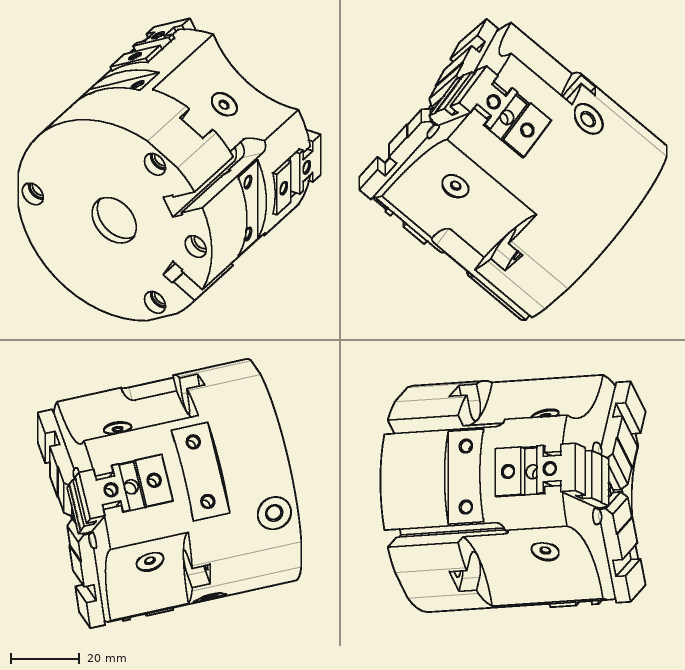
import cadquery as cq
import math


JAW_ANGLES = (0, 120, 240)
GAP_ANGLES = (60, 180, 300)

BODY_RADIUS = 33.0
BODY_LENGTH = 56.5
FLAT_RADIUS = 32.5
SCALLOP_RADIUS = 28.5
SCALLOP_CENTRE = 51.7
SCALLOP_STARTS = {60: 22.0, 180: 33.0, 300: 22.0}
CENTRE_RECESS_DIAMETER = 14.9
CENTRE_RECESS_DEPTH = 3.0

MOUNT_RADIUS = 27.5
MOUNT_DIAMETER = 5.0
MOUNT_CHAMFER_DIAMETER = 6.0
SLEEVE_DIAMETER = 7.05
SLEEVE_DEPTH = 3.5
HEAD_WIDTH = 9.0
HEAD_DEPTH = 5.5
BLIND_DEPTH = 9.9
DRILL_TIP_ANGLE = 118

JAW_INNER_RADIUS = 4.4
JAW_REACH = 2 * BODY_RADIUS - FLAT_RADIUS
JAW_WIDTH = 14.0
NECK_WIDTH = 7.5
JAW_START = 36.0
JAW_SHOULDER = 51.0
JAW_END = 61.0
TIP_RELIEF_END = 12.4
TIP_RELIEF_DEPTH = 0.25
TIP_CHAMFER = 1.85
KEYWAY_START = 20.4
KEYWAY_WIDTH = 5.0
KEYWAY_DEPTH = 3.0
JAW_GROOVE_RADIUS = 30.35
JAW_GROOVE_START = 44.0
JAW_GROOVE_END = 49.0
JAW_GROOVE_HOLE_DIAMETER = 4.1
JAW_GROOVE_HOLE_DEPTH = 5.3
JAW_HOLE_LEVELS = (40.0, 53.0)
COVER_SLOT_WIDTH = 10.0

TAP_DIAMETER = 3.3
TAP_CHAMFER_DIAMETER = 4.0
TAP_DEPTH = 8.0
PAD_ANGLES = (0, 120)
PAD_RADIUS = 30.0
PAD_START = 20.0
PAD_END = 31.0
PAD_HOLE_OFFSET = 9.0

PORTS = ((150, 7.0), (210, 26.5))
PORT_SEAT_RADIUS = FLAT_RADIUS
PORT_SEAT_DIAMETER = 9.95
PORT_DIAMETER = 4.2
PORT_CHAMFER_DIAMETER = 5.0
PORT_DEPTH = 9.9

LUBE_LEVEL = 43.0
LUBE_SEAT_RADIUS = 23.0
LUBE_SEAT_DIAMETER = 8.1
LUBE_DIAMETER = 2.5
LUBE_CHAMFER_DIAMETER = 3.1
LUBE_DEPTH = 5.95

SENSOR_ANGLES = (30, -30)
SENSOR_WIDTH = 5.3
SENSOR_HEAD_WIDTH = 6.6
SENSOR_FLOOR_RADIUS = 21.0
SENSOR_STEP_RADIUS = 24.6
SENSOR_END = 34.5

STUD_PLACE_RADIUS = 11.2
STUD_RADIUS = 2.4
STUD_HEIGHT = 1.25
STUD_ROUNDING = 1.2

OUTSIDE = 2 * BODY_RADIUS


def turned(shape, angle):
    """Turn a shape about the gripper axis, from +X towards +Z."""
    return shape.rotate((0, 0, 0), (0, 1, 0), -angle)


def block(x_start, x_end, y_start, y_end, width):
    """A block on the +X radius, centred on z = 0."""
    size = (x_end - x_start, y_end - y_start, width)
    return cq.Workplane("XY").box(*size, centered=(False, False, True)).translate((x_start, y_start, 0))


def axial_cylinder(diameter, x, y_start, y_end):
    """A cylinder parallel to the gripper axis, centred on z = 0."""
    plane = cq.Workplane("XZ", origin=(x, y_start, 0))
    return plane.circle(diameter / 2).extrude(y_start - y_end)


def radial_cylinder(diameter, x_start, x_end, y, z=0):
    """A cylinder parallel to X."""
    return cq.Workplane("YZ", origin=(x_start, y, z)).circle(diameter / 2).extrude(x_end - x_start)


def chamfered_bore(diameter, mouth_diameter, depth):
    """A blind bore down from the origin along -Z, with a 45 degree chamfer at its mouth."""
    radius = diameter / 2
    mouth = mouth_diameter / 2
    outline = [(0, 0), (mouth, 0), (radius, radius - mouth), (radius, -depth), (0, -depth)]
    return cq.Workplane("XZ").polyline(outline).close().revolve(360, (0, 0), (0, 1))


def radial_bore(diameter, mouth_diameter, depth, x, y, z=0):
    """A chamfered bore going from (x, y, z) towards the gripper axis, along -X."""
    bore = chamfered_bore(diameter, mouth_diameter, depth)
    return bore.rotate((0, 0, 0), (0, 1, 0), 90).translate((x, y, z))



def scallop(start):
    """Concave relief between two jaws, open at the cover end."""
    return axial_cylinder(2 * SCALLOP_RADIUS, SCALLOP_CENTRE, start, BODY_LENGTH)


def mount_hole(scallop_start):
    """Through hole with a sleeve seat in front and a screw head seat in the scallop."""
    head_floor = scallop_start - HEAD_DEPTH
    hole = axial_cylinder(MOUNT_DIAMETER, MOUNT_RADIUS, 0, scallop_start)
    hole = hole.union(axial_cylinder(SLEEVE_DIAMETER, MOUNT_RADIUS, 0, SLEEVE_DEPTH))
    bore = chamfered_bore(MOUNT_DIAMETER, MOUNT_CHAMFER_DIAMETER, MOUNT_DIAMETER)
    bore = bore.rotate((0, 0, 0), (1, 0, 0), 90).translate((MOUNT_RADIUS, SLEEVE_DEPTH, 0))
    hole = hole.union(bore)
    hole = hole.union(axial_cylinder(HEAD_WIDTH, MOUNT_RADIUS, head_floor, scallop_start))
    return hole.union(block(MOUNT_RADIUS, OUTSIDE, head_floor, scallop_start, HEAD_WIDTH))


def blind_mount_hole():
    """Sleeve seat with a drilled hole that ends in a cone."""
    radius = MOUNT_DIAMETER / 2
    cone_end = BLIND_DEPTH + radius / math.tan(math.radians(DRILL_TIP_ANGLE / 2))
    outline = [(0, 0), (radius, 0), (radius, BLIND_DEPTH), (0, cone_end)]
    drilled = cq.Workplane("XY").polyline(outline).close().revolve(360, (0, 0), (0, 1))
    drilled = drilled.translate((MOUNT_RADIUS, 0, 0))
    return drilled.union(axial_cylinder(SLEEVE_DIAMETER, MOUNT_RADIUS, 0, SLEEVE_DEPTH))


def jaw_slot():
    """T-shaped guide for one jaw: as wide as the jaw inside, narrower in the cover."""
    guide = block(0, OUTSIDE, JAW_START, JAW_SHOULDER, JAW_WIDTH)
    return guide.union(block(0, OUTSIDE, JAW_SHOULDER, BODY_LENGTH, COVER_SLOT_WIDTH))


def accessory_pad():
    """Flat seat below a jaw, with two tapped holes."""
    pad = block(PAD_RADIUS, OUTSIDE, PAD_START, PAD_END, OUTSIDE)
    level = (PAD_START + PAD_END) / 2
    for z in (-PAD_HOLE_OFFSET, PAD_HOLE_OFFSET):
        pad = pad.union(radial_bore(TAP_DIAMETER, TAP_CHAMFER_DIAMETER, TAP_DEPTH, PAD_RADIUS, level, z))
    return pad


def seated_port(seat_radius, seat_diameter, diameter, chamfer_diameter, depth, level):
    """Flat round seat with a chamfered bore in it."""
    seat = radial_cylinder(seat_diameter, seat_radius, BODY_RADIUS, level)
    return seat.union(radial_bore(diameter, chamfer_diameter, depth, seat_radius, level))


def sensor_slot():
    """T-section slot along the body with a round end, open at the mounting face."""
    slot = block(SENSOR_FLOOR_RADIUS, SENSOR_STEP_RADIUS, 0, SENSOR_END, SENSOR_HEAD_WIDTH)
    slot = slot.union(radial_cylinder(SENSOR_HEAD_WIDTH, SENSOR_FLOOR_RADIUS, SENSOR_STEP_RADIUS, SENSOR_END))
    slot = slot.union(block(SENSOR_STEP_RADIUS, OUTSIDE, 0, SENSOR_END, SENSOR_WIDTH))
    return slot.union(radial_cylinder(SENSOR_WIDTH, SENSOR_STEP_RADIUS, OUTSIDE, SENSOR_END))


def stud():
    """Round button with a rounded rim, standing on the cover face."""
    button = axial_cylinder(2 * STUD_RADIUS, STUD_PLACE_RADIUS, BODY_LENGTH, BODY_LENGTH + STUD_HEIGHT)
    return button.faces(">Y").edges().fillet(STUD_ROUNDING)


def make_housing():
    """Round body with its mounting, port and sensor features and the three jaw guides."""
    housing = axial_cylinder(2 * BODY_RADIUS, 0, 0, BODY_LENGTH)
    housing = housing.cut(axial_cylinder(CENTRE_RECESS_DIAMETER, 0, 0, CENTRE_RECESS_DEPTH))
    housing = housing.cut(blind_mount_hole())

    lube_port = seated_port(
        LUBE_SEAT_RADIUS, LUBE_SEAT_DIAMETER, LUBE_DIAMETER, LUBE_CHAMFER_DIAMETER, LUBE_DEPTH, LUBE_LEVEL
    )
    for angle in GAP_ANGLES:
        flat = block(FLAT_RADIUS, OUTSIDE, 0, BODY_LENGTH, OUTSIDE)
        housing = housing.cut(turned(flat, angle))
        housing = housing.cut(turned(scallop(SCALLOP_STARTS[angle]), angle))
        housing = housing.cut(turned(mount_hole(SCALLOP_STARTS[angle]), angle))
        housing = housing.cut(turned(lube_port, angle))
        housing = housing.union(turned(stud(), angle))

    for angle in JAW_ANGLES:
        housing = housing.cut(turned(jaw_slot(), angle))

    for angle in PAD_ANGLES:
        housing = housing.cut(turned(accessory_pad(), angle))

    for angle in SENSOR_ANGLES:
        housing = housing.cut(turned(sensor_slot(), angle))

    for angle, level in PORTS:
        port = seated_port(
            PORT_SEAT_RADIUS, PORT_SEAT_DIAMETER, PORT_DIAMETER, PORT_CHAMFER_DIAMETER, PORT_DEPTH, level
        )
        housing = housing.cut(turned(port, angle))
    return housing



def make_jaw():
    """Jaw with a finger plate outside the cover, a neck through it and a wide foot behind it."""
    jaw = block(JAW_INNER_RADIUS, JAW_REACH, BODY_LENGTH, JAW_END, JAW_WIDTH)
    tip_level = JAW_END - TIP_RELIEF_DEPTH
    jaw = jaw.cut(block(0, TIP_RELIEF_END, tip_level, JAW_END, JAW_WIDTH))
    jaw = jaw.faces("<X").edges(">Y").chamfer(TIP_CHAMFER)
    keyway_end = KEYWAY_START + KEYWAY_WIDTH
    jaw = jaw.cut(block(KEYWAY_START, keyway_end, JAW_END - KEYWAY_DEPTH, JAW_END, JAW_WIDTH))

    jaw = jaw.union(block(JAW_INNER_RADIUS, JAW_REACH, JAW_SHOULDER, BODY_LENGTH, NECK_WIDTH))
    jaw = jaw.union(block(JAW_INNER_RADIUS, JAW_REACH, JAW_START, JAW_SHOULDER, JAW_WIDTH))
    jaw = jaw.cut(block(JAW_GROOVE_RADIUS, JAW_REACH, JAW_GROOVE_START, JAW_GROOVE_END, JAW_WIDTH))

    groove_level = (JAW_GROOVE_START + JAW_GROOVE_END) / 2
    hole_floor = JAW_GROOVE_RADIUS - JAW_GROOVE_HOLE_DEPTH
    jaw = jaw.cut(radial_cylinder(JAW_GROOVE_HOLE_DIAMETER, hole_floor, JAW_GROOVE_RADIUS, groove_level))
    for level in JAW_HOLE_LEVELS:
        jaw = jaw.cut(radial_bore(TAP_DIAMETER, TAP_CHAMFER_DIAMETER, TAP_DEPTH, JAW_REACH, level))
    return jaw


housing = make_housing()
jaw = make_jaw()
jaws = [turned(jaw, angle).val() for angle in JAW_ANGLES]

result = cq.Compound.makeCompound([housing.val(), *jaws])